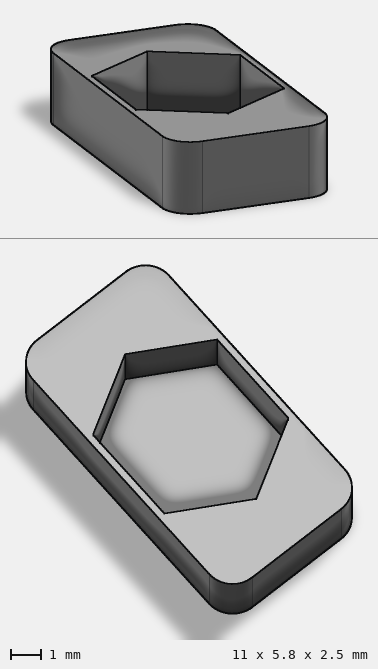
import cadquery as cq
import math

length = 11.0
width = 5.8
height = 2.5
corner_radius = 1.0

pocket_across_flats = 5.29
pocket_stretch = 0.59
pocket_center_x = -0.09
pocket_depth = 2.1


def stretched_hexagon(across_flats, stretch):
    """Corners of a hexagon with flats parallel to X, its two halves moved apart along X."""
    half_flats = across_flats / 2
    half_side = half_flats * math.tan(math.radians(30))
    flat_end = half_side + stretch / 2
    tip = 2 * half_side + stretch / 2
    return [
        (tip, 0),
        (flat_end, half_flats),
        (-flat_end, half_flats),
        (-tip, 0),
        (-flat_end, -half_flats),
        (flat_end, -half_flats),
    ]


block = (
    cq.Workplane("XY")
    .box(length, width, height, centered=(True, True, False))
    .edges("|Z")
    .fillet(corner_radius)
)

pocket = (
    cq.Workplane("XY", origin=(pocket_center_x, 0, height - pocket_depth))
    .polyline(stretched_hexagon(pocket_across_flats, pocket_stretch))
    .close()
    .extrude(pocket_depth)
)

result = block.cut(pocket)